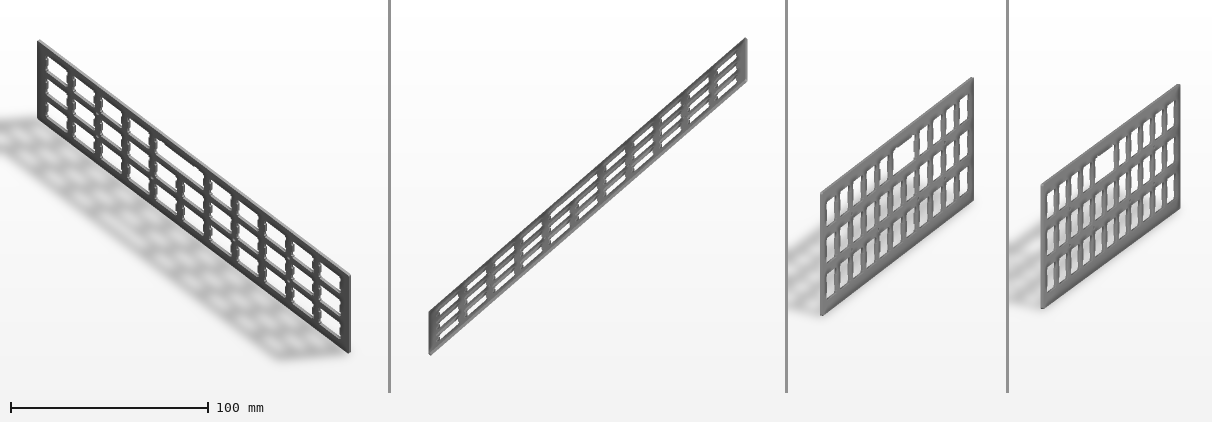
import cadquery as cq

plate_length = 217.5
plate_height = 65.0
plate_thickness = 1.5
plate_corner_radius = 1.0

column_count = 11
row_count = 3
outer_column_span = 190.5
pitch = outer_column_span / (column_count - 1)

opening_size = 14.0
notch_depth = 0.8
notch_height = 3.0
notch_corner_gap = 1.0
notch_offset = opening_size / 2 - notch_corner_gap - notch_height / 2

wide_key_columns = (4, 5)
stabilizer_spacing = 23.7
stabilizer_width = 3.3
stabilizer_rise = 0.75

screw_hole_diameter = 2.0
upper_screw_columns = (-3.5, 3.5)
lower_screw_columns = (-3.5, -1.5, 1.5, 3.5)
screw_row_offset = 0.5


def column_x(column):
    return (column - (column_count - 1) / 2) * pitch


def row_z(row):
    return ((row_count - 1) / 2 - row) * pitch


def block(x, z, length, height):
    """Box through the plate thickness, centred at (x, z)."""
    return cq.Workplane("XY").box(length, plate_thickness, height).translate((x, 0, z))


def key_opening(x, z, width):
    """Rectangular opening widened by notches near its four corners."""
    opening = block(x, z, width, opening_size)
    for side in (-1, 1):
        notch_z = z + side * notch_offset
        opening = opening.union(block(x, notch_z, width + 2 * notch_depth, notch_height))
    return opening


def wide_key_opening():
    """Opening spanning two columns of the top row, with the stabilizer reliefs."""
    first, last = wide_key_columns
    x = (column_x(first) + column_x(last)) / 2
    z = row_z(0)
    opening = key_opening(x, z, opening_size + (last - first) * pitch)
    for side in (-1, 1):
        relief = block(
            x + side * stabilizer_spacing / 2,
            z + stabilizer_rise / 2,
            stabilizer_width,
            opening_size + stabilizer_rise,
        )
        opening = opening.union(relief)
    return opening


def screw_holes():
    upper = [(column * pitch, screw_row_offset * pitch) for column in upper_screw_columns]
    lower = [(column * pitch, -screw_row_offset * pitch) for column in lower_screw_columns]
    return (
        cq.Workplane("XZ")
        .pushPoints(upper + lower)
        .circle(screw_hole_diameter / 2)
        .extrude(plate_thickness, both=True)
    )


result = block(0, 0, plate_length, plate_height).edges("|Y").fillet(plate_corner_radius)

for row in range(row_count):
    for column in range(column_count):
        if row == 0 and column in wide_key_columns:
            continue
        result = result.cut(key_opening(column_x(column), row_z(row), opening_size))

result = result.cut(wide_key_opening())
result = result.cut(screw_holes())